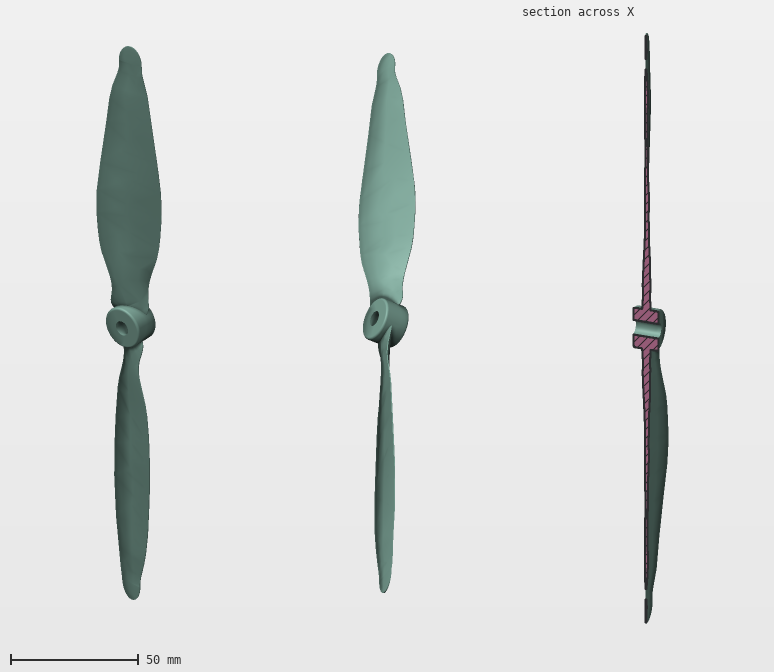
import cadquery as cq
import math

span = 254.0
hub_length = 10.7
hub_radius = 8.6
hub_fillet = 0.9
bore_radius = 3.0
edge_thickness = 0.38

blade_stations = [
    (5.0, -7.0, 6.4, 1.5, 4.0),
    (12.7, -7.0, 6.4, 3.0, 3.3),
    (20.3, -7.4, 6.5, 3.8, 3.0),
    (30.5, -11.0, 9.5, 4.5, 2.5),
    (40.6, -12.7, 11.0, 4.8, 1.8),
    (53.3, -13.5, 11.7, 4.8, 1.8),
    (71.0, -12.5, 11.2, 3.5, 1.5),
    (91.5, -10.5, 9.1, 2.0, 1.3),
    (109.2, -7.4, 6.5, 1.3, 1.0),
    (119.5, -5.3, 4.8, 0.8, 0.8),
]
tip_radius = span / 2
tip_x = -0.3
tip_cap_steps = 5
tip_cap_end = math.radians(85)


def tip_cap_stations():
    """Stations that narrow along an elliptic arc from the last blade station to the tip."""
    radius, leading_x, trailing_x, rise, thickness = blade_stations[-1]
    cap_length = (tip_radius - radius) / math.sin(tip_cap_end)
    stations = []
    for step in range(1, tip_cap_steps + 1):
        angle = tip_cap_end * step / tip_cap_steps
        narrowing = math.cos(angle)
        stations.append((
            radius + cap_length * math.sin(angle),
            tip_x + (leading_x - tip_x) * narrowing,
            tip_x + (trailing_x - tip_x) * narrowing,
            rise * narrowing,
            edge_thickness + (thickness - edge_thickness) * narrowing,
        ))
    return stations


def blade_section(radius, leading_x, trailing_x, rise, thickness):
    """Lens-shaped section with blunt edges, its chord running from front-left to back-right."""
    chord_x = trailing_x - leading_x
    chord = math.hypot(chord_x, 2 * rise)
    normal_x = -2 * rise / chord
    normal_y = chord_x / chord

    def point(along, offset):
        x = leading_x + along * chord_x + offset * normal_x
        y = (2 * along - 1) * rise + offset * normal_y
        return cq.Vector(x, y, radius)

    half_edge = edge_thickness / 2
    half_middle = thickness / 2
    return cq.Wire.assembleEdges([
        cq.Edge.makeThreePointArc(point(0, -half_edge), point(0.5, -half_middle), point(1, -half_edge)),
        cq.Edge.makeLine(point(1, -half_edge), point(1, half_edge)),
        cq.Edge.makeThreePointArc(point(1, half_edge), point(0.5, half_middle), point(0, half_edge)),
        cq.Edge.makeLine(point(0, half_edge), point(0, -half_edge)),
    ])


def make_blade():
    body_sections = [blade_section(*station) for station in blade_stations]
    cap_sections = body_sections[-1:] + [blade_section(*station) for station in tip_cap_stations()]
    body = cq.Workplane(cq.Solid.makeLoft(body_sections))
    return body.union(cq.Workplane(cq.Solid.makeLoft(cap_sections)))


def make_hub():
    return (
        cq.Workplane("XZ", origin=(0, -hub_length / 2, 0))
        .circle(hub_radius)
        .extrude(-hub_length)
        .edges()
        .fillet(hub_fillet)
    )


bore = cq.Workplane("XZ").circle(bore_radius).extrude(hub_length, both=True)
upper_blade = make_blade()
lower_blade = upper_blade.rotate((0, 0, 0), (0, 1, 0), 180)
result = make_hub().union(upper_blade).union(lower_blade).cut(bore)